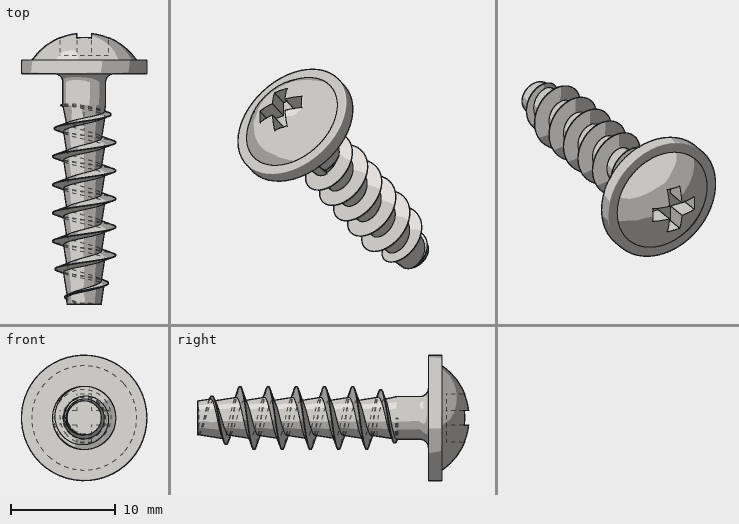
import math

import cadquery as cq


flange_radius = 6.0
flange_thickness = 1.33
flange_edge_radius = 0.1
dome_radius = 5.0
dome_height = 2.61

recess_span = 4.6
recess_wing_width = 1.38
recess_depth = 2.2

shank_radius = 2.05
shank_end = -3.0
neck_fillet = 0.8
tip_end = -22.0

pitch = 2.69
thread_origin = -3.18
thread_radius = 3.02
crest_half_width = 0.03
flank_slope = 0.315
thread_start_turn = -0.25
fade_in_end_turn = 1.0
fade_in_start_radius = 2.25
fade_out_start_turn = 5.5
thread_end_turn = 7.0
thread_end_radius = 1.62
points_per_turn = 24

core_root_radius = 2.02
core_neck_radius = 1.61
core_slope = (core_root_radius - core_neck_radius) / pitch
core_step_clearance = 0.05
core_end_turn = 8.0
core_rod_radius = 1.55
thread_base_radius = 1.3
core_base_radius = 1.1
runout_length = 1.9
tip_radius = 1.63

dish_radius = 1.5
dish_depth = 0.17


def revolve_about_y(outline):
    return outline.close().revolve(360, (0, 0, 0), (0, 1, 0))


def interpolate(value, start, end, start_result, end_result):
    share = (value - start) / (end - start)
    return start_result + share * (end_result - start_result)


def make_head():
    flange = cq.Workplane("XZ").circle(flange_radius).extrude(-flange_thickness)
    flange = flange.edges().fillet(flange_edge_radius)
    sphere_radius = (dome_radius**2 + dome_height**2) / (2 * dome_height)
    apex = flange_thickness + dome_height
    half_angle = math.asin(dome_radius / sphere_radius) / 2
    arc_middle = (
        sphere_radius * math.sin(half_angle),
        apex - sphere_radius * (1 - math.cos(half_angle)),
    )
    dome = revolve_about_y(
        cq.Workplane("XY")
        .lineTo(dome_radius, 0)
        .lineTo(dome_radius, flange_thickness)
        .threePointArc(arc_middle, (0, apex))
    )
    return flange.union(dome).cut(make_recess(apex))


def make_recess(apex):
    floor = cq.Workplane("XZ", origin=(0, apex - recess_depth, 0))
    wing_along_x = floor.rect(recess_span, recess_wing_width).extrude(-recess_depth)
    wing_along_z = floor.rect(recess_wing_width, recess_span).extrude(-recess_depth)
    return wing_along_x.union(wing_along_z)


def make_shank():
    """Plain shank with its neck fillet, the cone below it and the rod inside the core."""
    runout_end = shank_end - runout_length
    runout_radius = core_neck_radius + core_step_clearance
    fillet_middle = neck_fillet * (1 - math.sqrt(0.5))
    return revolve_about_y(
        cq.Workplane("XY")
        .moveTo(0, flange_thickness / 2)
        .lineTo(shank_radius + neck_fillet, flange_thickness / 2)
        .lineTo(shank_radius + neck_fillet, 0)
        .threePointArc((shank_radius + fillet_middle, -fillet_middle), (shank_radius, -neck_fillet))
        .lineTo(shank_radius, shank_end)
        .lineTo(runout_radius, runout_end)
        .lineTo(core_rod_radius, runout_end)
        .lineTo(core_rod_radius, tip_end)
        .lineTo(0, tip_end)
    )


def helix_height(turn):
    return thread_origin - pitch * turn


def helical_solid(section_at, start_turn, end_turn):
    """Solid between helical corner curves; section_at(turn) lists the (radius, height) corners."""
    count = round((end_turn - start_turn) * points_per_turn)
    turns = [start_turn + step / points_per_turn for step in range(count + 1)]
    curves = []
    for corner in range(len(section_at(start_turn))):
        points = []
        for turn in turns:
            radius, height = section_at(turn)[corner]
            angle = 2 * math.pi * turn
            points.append(cq.Vector(radius * math.sin(angle), height, -radius * math.cos(angle)))
        curves.append(cq.Edge.makeSpline(points, parameters=turns))
    neighbours = list(zip(curves, curves[1:] + curves[:1]))
    faces = [cq.Face.makeRuledSurface(first, second) for first, second in neighbours]
    for position in (0, 1):
        corners = [curve.positionAt(position) for curve in curves]
        faces.append(cq.Face.makeFromWires(cq.Wire.makePolygon(corners, close=True)))
    solid = cq.Solid.makeSolid(cq.Shell.makeShell(faces)).fix()
    return cq.Workplane("XY").add(solid)


def crest_radius(turn):
    if turn < fade_in_end_turn:
        return interpolate(turn, thread_start_turn, fade_in_end_turn, fade_in_start_radius, thread_radius)
    if turn > fade_out_start_turn:
        return interpolate(turn, fade_out_start_turn, thread_end_turn, thread_radius, thread_end_radius)
    return thread_radius


def thread_section(turn):
    height = min(helix_height(turn), shank_end)
    crest = crest_radius(turn)
    base_half_width = crest_half_width + flank_slope * (crest - thread_base_radius)
    return [
        (thread_base_radius, height + base_half_width),
        (crest, height + crest_half_width),
        (crest, height - crest_half_width),
        (thread_base_radius, height - base_half_width),
    ]


def core_section(turn):
    top = helix_height(turn) - core_step_clearance
    bottom = helix_height(turn) - pitch + core_step_clearance
    return [
        (core_base_radius, top),
        (core_root_radius, top),
        (core_neck_radius, bottom),
        (core_base_radius, bottom),
    ]


def make_core():
    """Sawtooth core, trimmed to a plain cone around the tip."""
    cone_top = tip_end + (core_root_radius - tip_radius) / core_slope
    envelope = revolve_about_y(
        cq.Workplane("XY")
        .moveTo(0, shank_end)
        .lineTo(thread_radius, shank_end)
        .lineTo(thread_radius, cone_top)
        .lineTo(core_root_radius, cone_top)
        .lineTo(tip_radius, tip_end)
        .lineTo(0, tip_end)
    )
    return helical_solid(core_section, 0, core_end_turn).intersect(envelope)


def add_thread(body):
    """Join the full-height thread and its two fading ends to the body, then square off the tip."""
    for start_turn, end_turn in (
        (fade_in_end_turn, fade_out_start_turn),
        (thread_start_turn, fade_in_end_turn),
        (fade_out_start_turn, thread_end_turn),
    ):
        body = body.union(helical_solid(thread_section, start_turn, end_turn))
    below_tip = cq.Workplane("XZ", origin=(0, tip_end, 0)).circle(thread_radius).extrude(pitch)
    return body.cut(below_tip)


def make_tip_dish():
    sphere_radius = (dish_radius**2 + dish_depth**2) / (2 * dish_depth)
    center_height = tip_end + dish_depth - sphere_radius
    return cq.Workplane("XY", origin=(0, center_height, 0)).sphere(sphere_radius)


screw_body = add_thread(make_shank().union(make_core())).cut(make_tip_dish())
result = screw_body.union(make_head())